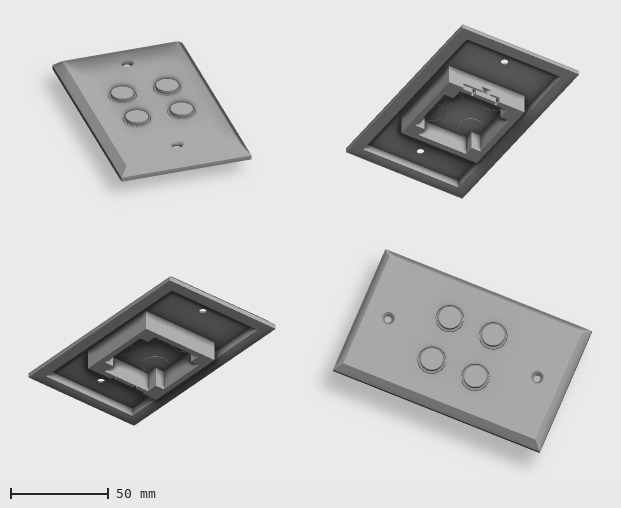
import cadquery as cq

plate_length = 114.3
plate_width = 69.85
plate_thickness = 6.4
bevel_size = 4.0
skin_thickness = 2.0
rim_wall = 2.5

box_length = 46.7
box_width = 45.2
box_offset_x = -0.5
box_depth = 6.6
box_wall = 3.2
post_inner_face = 14.2

button_pitch = 24.0
button_hole_diameter = 14.5
flange_diameter = 14.0
flange_thickness = skin_thickness
cap_diameter = 11.6
cap_height = 2.0
cap_chamfer = 0.2

screw_spacing = 82.3
screw_hole_diameter = 3.66
countersink_diameter = 7.0
countersink_angle = 90.0

window_y_min = -7.6
window_y_max = 13.9
window_height = 3.0
window_depth = 1.0
slot_y = 7.06
slot_height = 2.75
slot_widths = (2.0, 1.2)
slot_step_depth = 1.0
notch_width = 6.1
notch_top = 5.8
notch_depth = 2.0

plate_bottom = box_depth
plate_top = plate_bottom + plate_thickness
skin_bottom = plate_top - skin_thickness
bevel_bottom = plate_top - bevel_size
box_face_x = box_offset_x - box_length / 2


def block(length, width, bottom, top, center_x=0):
    return (
        cq.Workplane("XY")
        .workplane(offset=bottom)
        .center(center_x, 0)
        .rect(length, width)
        .extrude(top - bottom)
    )


def make_plate_shell():
    edge = block(plate_length, plate_width, plate_bottom, bevel_bottom)
    bevel = (
        edge.faces(">Z")
        .workplane()
        .rect(plate_length, plate_width)
        .workplane(offset=bevel_size)
        .rect(plate_length - 2 * bevel_size, plate_width - 2 * bevel_size)
        .loft(combine=False)
    )
    cavity_inset = 2 * (bevel_size + rim_wall)
    cavity = block(plate_length - cavity_inset, plate_width - cavity_inset, plate_bottom, skin_bottom)
    return edge.union(bevel).cut(cavity)


def make_corner_posts():
    size = box_length / 2 - post_inner_face
    spacing = 2 * post_inner_face + size
    return cq.Workplane("XY").rarray(spacing, spacing, 2, 2).rect(size, size).extrude(skin_bottom)


def make_box_frame():
    outside = block(box_length, box_width, 0, skin_bottom, box_offset_x)
    inside = block(box_length - 2 * box_wall, box_width - 2 * box_wall, 0, skin_bottom, box_offset_x)
    return outside.cut(inside.cut(make_corner_posts()))


def wall_recess(y_min, y_max, height, depth):
    """Recess cut along +X into the -X face of the box, open at its bottom edge."""
    recess = cq.Workplane("XY").box(depth, y_max - y_min, height, centered=False)
    return recess.translate((box_face_x, y_min, 0))


def make_wall_openings():
    openings = wall_recess(window_y_min, window_y_max, window_height, window_depth)
    for step, width in enumerate(slot_widths, start=1):
        depth = window_depth + step * slot_step_depth
        for y in (-slot_y, slot_y):
            y_min = max(y - width / 2, window_y_min)
            openings = openings.union(wall_recess(y_min, y + width / 2, slot_height, depth))
    notch = (
        cq.Workplane("XY")
        .workplane(offset=window_height)
        .moveTo(box_face_x, -notch_width / 2)
        .lineTo(box_face_x + notch_depth, 0)
        .lineTo(box_face_x, notch_width / 2)
        .close()
        .extrude(notch_top - window_height)
    )
    return openings, notch


def make_housing():
    frame = make_box_frame()
    for opening in make_wall_openings():
        frame = frame.cut(opening)
    body = make_plate_shell().union(frame)
    body = (
        body.faces(">Z")
        .workplane(origin=(0, 0, plate_top))
        .rarray(button_pitch, button_pitch, 2, 2)
        .hole(button_hole_diameter, skin_thickness)
    )
    return (
        body.faces(">Z")
        .workplane(origin=(0, 0, plate_top))
        .rarray(screw_spacing, 1, 2, 1)
        .cskHole(screw_hole_diameter, countersink_diameter, countersink_angle)
    )


def make_button(x, y):
    """Round cap on a wider flange whose top is flush with the plate."""
    flange = cq.Workplane("XY").circle(flange_diameter / 2).extrude(flange_thickness)
    cap = (
        cq.Workplane("XY")
        .workplane(offset=flange_thickness)
        .circle(cap_diameter / 2)
        .extrude(cap_height)
        .faces(">Z")
        .edges()
        .chamfer(cap_chamfer)
    )
    return flange.union(cap).translate((x, y, plate_top - flange_thickness))


housing = make_housing()
button_places = (-button_pitch / 2, button_pitch / 2)
buttons = [make_button(x, y) for x in button_places for y in button_places]

result = cq.Compound.makeCompound([housing.val()] + [button.val() for button in buttons])